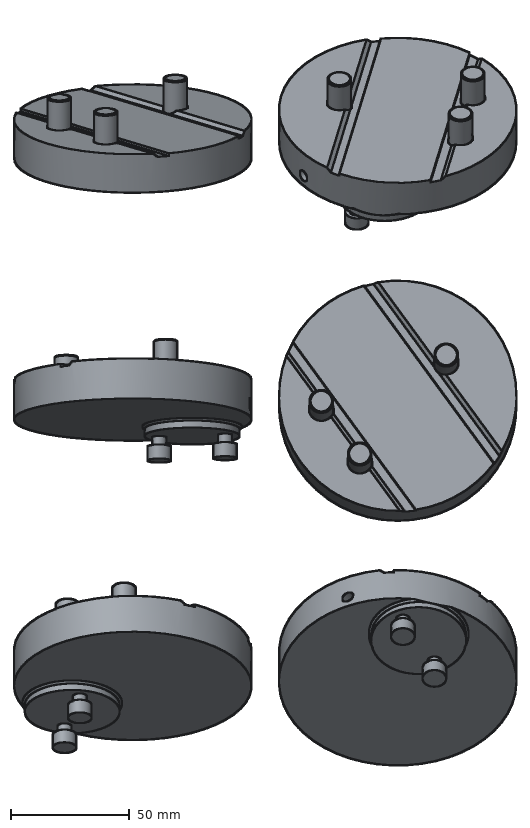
import cadquery as cq
import math

screw_head_diameter = 10
screw_head_height = 6
screw_shank_diameter = 6
screw_shank_length = 4
screw_pitch = 20

flange_diameter = 40
flange_height = 4
flange_bevel = 1
flange_bevel_angle = 45

disc_diameter = 100
back_land_height = 17.2
front_land_height = 17
centre_land_height = 16.7
groove_floor_height = 15.5

back_centre_edge = 16.2
back_floor_edge = 20
back_land_edge = 21.8
front_centre_edge = -22.4
front_floor_edge = -26.4
front_land_edge = -28.2

pin_diameter = 10
pin_chamfer = 0.5
pin_bore_diameter = 10.5
pin_bore_depth = 12
pin_tip_above_front_land = 13
back_pin_y = 25
front_pin_y = -29.5
front_pin_x = 14

rim_hole_diameter = 5
rim_hole_angle = 138
rim_hole_rise = 5.3
rim_hole_depth = 20

flange_bottom = screw_head_height + screw_shank_length
disc_bottom = flange_bottom + flange_height
disc_radius = disc_diameter / 2
flange_radius = flange_diameter / 2
flange_x = flange_radius - disc_radius
groove_floor = disc_bottom + groove_floor_height
centre_land = disc_bottom + centre_land_height
front_land = disc_bottom + front_land_height
back_land = disc_bottom + back_land_height
pin_tip = front_land + pin_tip_above_front_land
pin_seat = front_land - pin_bore_depth


def cylinder(x, y, bottom, diameter, height):
    """Vertical cylinder standing on the level 'bottom'."""
    return cq.Workplane("XY", origin=(x, y, bottom)).circle(diameter / 2).extrude(height)


def make_disc():
    """Round disc whose top follows the stepped and grooved Y-Z profile."""
    profile = [
        (-disc_radius, disc_bottom),
        (-disc_radius, front_land),
        (front_land_edge, front_land),
        (front_floor_edge, groove_floor),
        (front_centre_edge, groove_floor),
        (front_centre_edge, centre_land),
        (back_centre_edge, centre_land),
        (back_centre_edge, groove_floor),
        (back_floor_edge, groove_floor),
        (back_land_edge, back_land),
        (disc_radius, back_land),
        (disc_radius, disc_bottom),
    ]
    stepped_bar = cq.Workplane("YZ").polyline(profile).close().extrude(disc_radius, both=True)
    return stepped_bar.intersect(cylinder(0, 0, disc_bottom, disc_diameter, back_land_height))


def make_flange():
    """Flange with a flared collar against the disc, trimmed by the disc rim."""
    plate = cylinder(flange_x, 0, flange_bottom, flange_diameter, flange_height)
    collar = (
        cq.Workplane("XY", origin=(flange_x, 0, disc_bottom))
        .circle(flange_radius + flange_bevel)
        .extrude(-flange_bevel, taper=flange_bevel_angle)
    )
    rim = cylinder(0, 0, flange_bottom, disc_diameter, flange_height)
    return plate.union(collar.intersect(rim))


def make_screw(x, y):
    head = cylinder(x, y, 0, screw_head_diameter, screw_head_height)
    shank = cylinder(x, y, screw_head_height, screw_shank_diameter, screw_shank_length)
    return head.union(shank)


def make_pin_bore(x, y):
    """Blind bore that leaves a narrow gap around a pin."""
    return cylinder(x, y, pin_seat, pin_bore_diameter, back_land - pin_seat)


def make_pin(x, y):
    """Pin standing on the floor of its bore, with a chamfered tip."""
    pin = cylinder(x, y, pin_seat, pin_diameter, pin_tip - pin_seat)
    return pin.faces(">Z").chamfer(pin_chamfer)


def make_rim_hole():
    """Blind horizontal hole aimed at the disc axis."""
    angle = math.radians(rim_hole_angle)
    outward = cq.Vector(math.cos(angle), math.sin(angle), 0)
    start = outward * disc_radius + cq.Vector(0, 0, disc_bottom + rim_hole_rise)
    return cq.Workplane(cq.Solid.makeCylinder(rim_hole_diameter / 2, rim_hole_depth, start, outward * -1))


result = make_disc().union(make_flange())

for side in (-1, 1):
    screw_x = flange_x + side * screw_pitch / 2
    screw_y = -side * screw_pitch / 2
    result = result.union(make_screw(screw_x, screw_y))

for pin_x, pin_y in [(0, back_pin_y), (-front_pin_x, front_pin_y), (front_pin_x, front_pin_y)]:
    result = result.cut(make_pin_bore(pin_x, pin_y))
    result = result.union(make_pin(pin_x, pin_y))

result = result.cut(make_rim_hole())